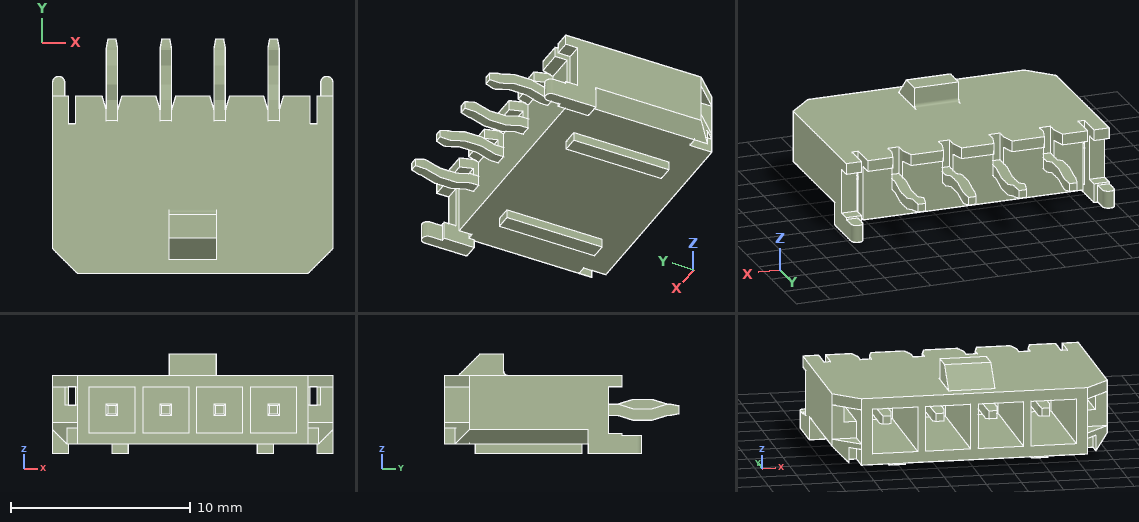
import cadquery as cq
import math


width = 15.65
height = 3.83
flange_end = 9.9
back = 9.15
wall = 0.64
corner = 1.4
half_width = width / 2
flange_bottom = height - wall

pin_count = 4
pitch = 3.0
pin_size = 0.64
pin_z = height / 2
pin_end = 13.08
pin_start = 2.35
tip_length = 0.5
tip_size = 0.45
bend_offset = 0.27
bend_stations = (9.67, 10.52, 11.58, 12.44)
pin_positions = [(i - (pin_count - 1) / 2) * pitch for i in range(pin_count)]

cavity_size = 2.57
cavity_depth = 7.35
notch_start = 8.53
notch_mouth = 1.1

side_wall = 0.9
slot_width = 0.38
slot_start = 8.35
pocket_floor = 1.22
channel_floor = 2.18
channel_offset = 0.69
lower_chamfer = 0.81
corner_notch_height = 0.9

standoff = 0.53
leg_start = 8.01
leg_top = 0.6
arm_end = 11.0
arm_top = 0.49
arm_width = 0.69
foot_width = 0.92
foot_start = 1.7
foot_end = 7.68
foot_x = 4.05

latch_width = 2.63
latch_height = 1.2
latch_front = 0.78
latch_back = 3.3
latch_fillet = 0.25


def block(x_range, y_range, z_range):
    """Axis-aligned box between the given limits."""
    size = [high - low for low, high in (x_range, y_range, z_range)]
    low_corner = (x_range[0], y_range[0], z_range[0])
    return cq.Workplane("XY").box(*size, centered=False).translate(low_corner)


def both_sides(left_shape):
    """The left-hand shape together with its mirror image on the right."""
    return left_shape.add(left_shape.mirror("YZ")).combine()


def shell_block():
    """Block with bevelled front corners and a flange overhanging the rear face."""
    plan = [
        (-half_width, flange_end),
        (-half_width, corner),
        (-half_width + corner, 0),
        (half_width - corner, 0),
        (half_width, corner),
        (half_width, flange_end),
    ]
    body = cq.Workplane("XY").polyline(plan).close().extrude(height)
    return body.cut(block((-half_width, half_width), (back, flange_end), (0, flange_bottom)))


def lower_edge_chamfer():
    """Wedge removed along the lower left edge, in front of the leg."""
    triangle = [
        (-half_width, 0),
        (-half_width + lower_chamfer, 0),
        (-half_width, lower_chamfer),
    ]
    return cq.Workplane("XZ").polyline(triangle).close().extrude(-leg_start)


def corner_pocket():
    """Pocket, channel and lower notch in the left front corner."""
    inner_x = -half_width + corner
    pocket = block((-half_width, inner_x), (0, corner), (pocket_floor, flange_bottom))
    channel = block(
        (-half_width + channel_offset, inner_x), (corner, slot_start), (channel_floor, flange_bottom)
    )
    notch_x = -half_width + lower_chamfer
    notch = block((notch_x, inner_x), (0, corner), (0, corner_notch_height))
    return pocket.union(channel).union(notch)


def rear_slot():
    """Slot that frees the left side wall at the rear."""
    slot_x = -half_width + side_wall
    return block((slot_x, slot_x + slot_width), (slot_start, flange_end), (0, height))


def leg():
    """Left leg with a narrower, round-ended arm reaching behind the housing."""
    left = -half_width
    post = block((left, left + side_wall), (leg_start, flange_end), (-standoff, leg_top))
    round_start = arm_end - arm_width / 2
    arm = (
        cq.Workplane("XY", origin=(0, 0, -standoff))
        .moveTo(left, flange_end)
        .lineTo(left, round_start)
        .threePointArc((left + arm_width / 2, arm_end), (left + arm_width, round_start))
        .lineTo(left + arm_width, flange_end)
        .close()
        .extrude(standoff + arm_top)
    )
    return post.union(arm)


def foot_rail():
    """Left standoff rail under the housing."""
    x_range = (-foot_x - foot_width / 2, -foot_x + foot_width / 2)
    return block(x_range, (foot_start, foot_end), (-standoff, 0))


def latch():
    """45-degree latch ramp with a fillet at the foot of its rear face."""
    latch_top = height + latch_height
    mid_arc = latch_fillet * (1 - math.sqrt(0.5))
    return (
        cq.Workplane("YZ", origin=(-latch_width / 2, 0, 0))
        .moveTo(latch_front, height)
        .lineTo(latch_front + latch_height, latch_top)
        .lineTo(latch_back, latch_top)
        .lineTo(latch_back, height + latch_fillet)
        .threePointArc(
            (latch_back + mid_arc, height + mid_arc), (latch_back + latch_fillet, height)
        )
        .close()
        .extrude(latch_width)
    )


def contact_opening(x):
    """Cavity, pin hole and flared rear notch for the contact at x."""
    half_cavity = cavity_size / 2
    half_pin = pin_size / 2
    half_mouth = notch_mouth / 2
    cavity = block(
        (x - half_cavity, x + half_cavity),
        (0, cavity_depth),
        (pin_z - half_cavity, pin_z + half_cavity),
    )
    hole = block(
        (x - half_pin, x + half_pin), (cavity_depth, back), (pin_z - half_pin, pin_z + half_pin)
    )
    notch_plan = [
        (x - half_mouth, flange_end),
        (x - half_pin, back),
        (x - half_pin, notch_start),
        (x + half_pin, notch_start),
        (x + half_pin, back),
        (x + half_mouth, flange_end),
    ]
    notch = (
        cq.Workplane("XY", origin=(0, 0, pin_z))
        .polyline(notch_plan)
        .close()
        .extrude(height - pin_z)
    )
    return cavity.union(hole).union(notch)


def make_housing():
    body = shell_block()
    for removed in (lower_edge_chamfer(), corner_pocket(), rear_slot()):
        body = body.cut(both_sides(removed))
    for added in (leg(), foot_rail()):
        body = body.union(both_sides(added))
    body = body.union(latch())
    for x in pin_positions:
        body = body.cut(contact_opening(x))
    return body


def make_pin(x, bend_direction):
    """Square pin with tapered ends; bend_direction is +1 for a kink upwards, -1 downwards."""
    half_pin = pin_size / 2
    half_tip = tip_size / 2
    taper_start = pin_start + tip_length
    taper_end = pin_end - tip_length
    bend = bend_direction * bend_offset
    stations = [
        (pin_start, 0, half_tip),
        (taper_start, 0, half_pin),
        (bend_stations[0], 0, half_pin),
        (bend_stations[1], bend, half_pin),
        (bend_stations[2], bend, half_pin),
        (bend_stations[3], 0, half_pin),
        (taper_end, 0, half_pin),
        (pin_end, 0, half_tip),
    ]
    upper = [(y, pin_z + centre + half) for y, centre, half in stations]
    lower = [(y, pin_z + centre - half) for y, centre, half in reversed(stations)]
    side = (
        cq.Workplane("YZ", origin=(x - half_pin, 0, 0))
        .polyline(upper + lower)
        .close()
        .extrude(pin_size)
    )
    plan_right = [
        (x + half_tip, pin_start),
        (x + half_pin, taper_start),
        (x + half_pin, taper_end),
        (x + half_tip, pin_end),
    ]
    plan_left = [(2 * x - right, y) for right, y in reversed(plan_right)]
    plan = cq.Workplane("XY").polyline(plan_right + plan_left).close().extrude(height)
    return side.intersect(plan)


housing = make_housing()
pins = [make_pin(x, (-1) ** i) for i, x in enumerate(pin_positions)]

result = cq.Compound.makeCompound([housing.solids().val(), *[pin.solids().val() for pin in pins]])